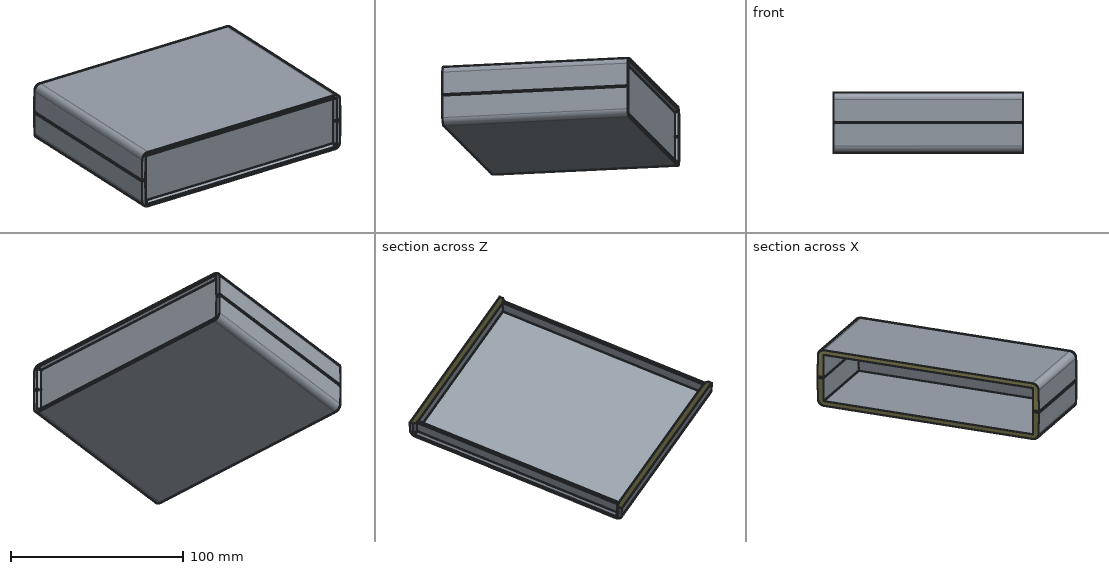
import cadquery as cq

LENGTH_X = 110.0
WIDTH_Y = 140.0
HEIGHT_Z = 35.0

SIDE_DRAFT = 0.3
CORNER_RADIUS = 4.0
SIDE_WALL = 3.9
PLATE_WALL = 3.2
MOUTH_BEVEL = 1.7
BEVEL_ANGLE = 45
PANEL_THICKNESS = 2.0
SEAM_GAP = 0.7
SEAM_DEPTH = 2.7

MOUTH_X = LENGTH_X / 2
PANEL_FACE_X = MOUTH_X - MOUTH_BEVEL
BORE_WIDTH = WIDTH_Y - 2 * SIDE_WALL
BORE_HALF_HEIGHT = HEIGHT_Z / 2 - PLATE_WALL

DRAFT_SLOPE = SIDE_DRAFT / (HEIGHT_Z / 2)
BORE_DRAFT = DRAFT_SLOPE * BORE_HALF_HEIGHT
SLEEVE_WIDTH = WIDTH_Y + DRAFT_SLOPE * SEAM_GAP


def section(x, width, half_height, draft):
    """Six-sided cross-section at x, widest at mid height and symmetric about both axes."""
    mid = width / 2
    end = mid - draft
    return cq.Workplane("YZ", origin=(x, 0, 0)).polyline([
        (mid, 0), (end, half_height), (-end, half_height),
        (-mid, 0), (-end, -half_height), (end, -half_height),
    ]).close()


def bore_section(x):
    """Outline at x of the bore, which the end panels also fill."""
    return section(x, BORE_WIDTH, BORE_HALF_HEIGHT, BORE_DRAFT)


def make_tube():
    """Whole drafted sleeve, open at both ends, before it is parted into shells."""
    sleeve = section(-MOUTH_X, SLEEVE_WIDTH, HEIGHT_Z / 2, SIDE_DRAFT).extrude(LENGTH_X)
    sleeve = sleeve.edges("|X and (>Z or <Z)").fillet(CORNER_RADIUS)
    sleeve = sleeve.cut(bore_section(-MOUTH_X).extrude(LENGTH_X))
    flare = bore_section(PANEL_FACE_X).extrude(MOUTH_BEVEL, taper=-BEVEL_ANGLE)
    return sleeve.cut(flare).cut(flare.mirror("YZ"))


def make_seam_groove(side):
    """Cutter for the narrow groove outside the parting line on one Y side."""
    edge_y = side * WIDTH_Y / 2
    return cq.Workplane("XY").box(LENGTH_X, 2 * SEAM_DEPTH, SEAM_GAP).translate((0, edge_y, 0))


def make_shell(tube, side):
    """Upper (side = 1) or lower (side = -1) half of the tube, parted at mid height."""
    half = cq.Workplane("XY").box(LENGTH_X, SLEEVE_WIDTH, HEIGHT_Z / 2).translate((0, 0, side * HEIGHT_Z / 4))
    return tube.intersect(half)


def make_end_panel(side):
    """Flat plate filling the bore at the foot of the mouth bevel."""
    center_x = side * (PANEL_FACE_X - PANEL_THICKNESS / 2)
    return bore_section(center_x).extrude(PANEL_THICKNESS / 2, both=True)


tube = make_tube()
for side in (1, -1):
    tube = tube.cut(make_seam_groove(side))

shells = [make_shell(tube, side) for side in (1, -1)]
end_panels = [make_end_panel(side) for side in (1, -1)]

result = cq.Compound.makeCompound([body.solids().val() for body in shells + end_panels])